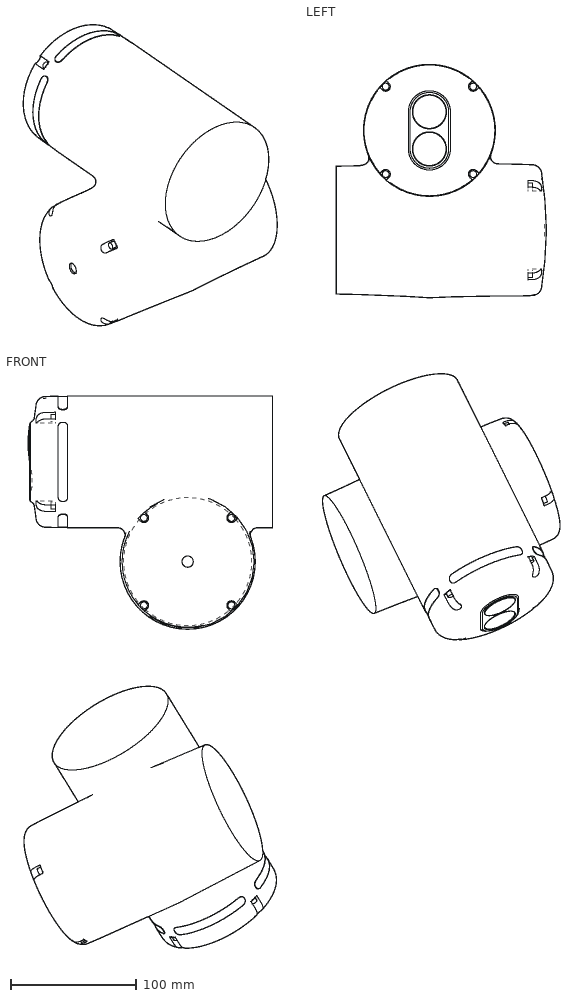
import cadquery as cq
import math


total_length = 195.5
main_radius = 52.8
main_right_end = 67.8
main_seam_x = -91.3
main_left_end = main_right_end - total_length

barrel_axis_drop = 79.8
barrel_mid_radius = 54.2
barrel_back_radius = 51.2
barrel_front_radius = 52.8
barrel_back_y = 74.5
crest_half_width = 0.5
barrel_seam_y = -72.1
junction_fillet = 5.7

cap_radius = 52.4
rim_round = 8.0
dome_edge_radius = cap_radius - rim_round
dome_height = 3.5
main_cap_length = 33.6
barrel_cap_length = 21.3
barrel_cap_top_y = barrel_seam_y - barrel_cap_length

screw_count = 4
screw_circle_radius = 49.5
screw_slot_radius = 3.7
screw_head_radius = 2.7
screw_head_height = 3.5
main_slot_depth = 19.2
barrel_slot_depth = 14.5

strip_count = 4
strip_width = 7.6
strip_chord = 63.3
strip_corner = 3.3
strip_recess = 0.1
strip_center_x = -99.7

pad_top_x = -126.3
pad_top_half_width = 15.5
pad_bevel_half_width = 16.8
pad_bevel_depth = 0.5
pad_wall_depth = 4.9
pad_wall_spread = 3.3
pad_root_fillet = 3.0
button_offset = 14.9
button_radius = 13.7
button_bevel = 0.4
dish_depth = 1.5

center_hole_radius = 4.5
center_hole_depth = 1.5


def lens(edge_radius, height, bevel=0.0):
    """Solid spherical segment rising along +Z, on a bevelled disc whose bottom is at Z = 0."""
    profile = cq.Workplane("XZ").lineTo(edge_radius + bevel, 0)
    if bevel > 0:
        profile = profile.lineTo(edge_radius, bevel)
    sphere_radius = (edge_radius**2 + height**2) / (2 * height)
    middle = edge_radius / 2
    middle_height = math.sqrt(sphere_radius**2 - middle**2) - sphere_radius + height
    profile = profile.threePointArc((middle, bevel + middle_height), (0, bevel + height))
    return profile.close().revolve(360, (0, 0, 0), (0, 1, 0))


def cap(seam_radius, length):
    """Rounded, domed cap whose seam is at Z = 0 and whose top is at Z = length."""
    dome_base = length - dome_height
    rim_start = dome_base - rim_round
    diagonal = rim_round * math.sqrt(0.5)
    rim_middle = (dome_edge_radius + diagonal, rim_start + diagonal)
    skirt = (
        cq.Workplane("XZ")
        .lineTo(seam_radius, 0)
        .lineTo(cap_radius, rim_start)
        .threePointArc(rim_middle, (dome_edge_radius, dome_base))
        .lineTo(0, dome_base)
        .close()
        .revolve(360, (0, 0, 0), (0, 1, 0))
    )
    return skirt.union(lens(dome_edge_radius, dome_height).translate((0, 0, dome_base)))


def screw_slots(cap_length, depth):
    """Slots open to the rim, each leaving a round screw head standing on its floor."""
    floor = cap_length - depth
    slots = cq.Workplane("XY")
    for index in range(screw_count):
        angle = (index + 0.5) * 360 / screw_count
        slot = (
            cq.Workplane("XY", origin=(screw_circle_radius, 0, floor))
            .circle(screw_slot_radius)
            .extrude(depth)
        )
        outlet = cq.Workplane("XY").box(
            2 * screw_slot_radius, 2 * screw_slot_radius, depth, centered=(False, True, False)
        )
        head = (
            cq.Workplane("XY", origin=(screw_circle_radius, 0, floor))
            .circle(screw_head_radius)
            .extrude(screw_head_height)
        )
        slot = slot.union(outlet.translate((screw_circle_radius, 0, floor))).cut(head)
        slots = slots.add(slot.rotate((0, 0, 0), (0, 0, 1), angle))
    return slots


def onto_main(shape):
    """Turn +Z to -X and move to the main seam."""
    return shape.rotate((0, 0, 0), (0, 1, 0), -90).translate((main_seam_x, 0, 0))


def onto_barrel(shape):
    """Turn +Z to -Y and move to the barrel seam."""
    turned = shape.rotate((0, 0, 0), (1, 0, 0), 90)
    return turned.translate((0, barrel_seam_y, -barrel_axis_drop))


def tube_and_barrel():
    """Main tube and double-cone barrel, blended where they meet."""
    tube = (
        cq.Workplane("YZ", origin=(main_seam_x, 0, 0))
        .circle(main_radius)
        .extrude(main_right_end - main_seam_x)
    )
    front_slope = (barrel_mid_radius - barrel_front_radius) / barrel_seam_y
    back_slope = (barrel_mid_radius - barrel_back_radius) / barrel_back_y
    crest_front = (barrel_mid_radius + front_slope * crest_half_width, -crest_half_width)
    crest_back = (barrel_mid_radius - back_slope * crest_half_width, crest_half_width)
    barrel = (
        cq.Workplane("XY")
        .moveTo(0, barrel_seam_y)
        .lineTo(barrel_front_radius, barrel_seam_y)
        .lineTo(*crest_front)
        .tangentArcPoint(crest_back, relative=False)
        .lineTo(barrel_back_radius, barrel_back_y)
        .lineTo(0, barrel_back_y)
        .close()
        .revolve(360, (0, 0, 0), (0, 1, 0))
        .translate((0, 0, -barrel_axis_drop))
    )
    return tube.union(barrel).edges("not(%CIRCLE or %LINE)").fillet(junction_fillet)


def strip_recesses():
    """Round-cornered strips, sunk slightly into the side of the main cap."""
    strips = cq.Workplane("XY")
    core = (
        cq.Workplane("YZ", origin=(strip_center_x - strip_width, 0, 0))
        .circle(cap_radius - strip_recess)
        .extrude(2 * strip_width)
    )
    for index in range(strip_count):
        strip = (
            cq.Workplane("XY", origin=(strip_center_x, 0, 0))
            .rect(strip_width, strip_chord)
            .extrude(main_radius)
            .edges("|Z")
            .fillet(strip_corner)
            .cut(core)
        )
        strips = strips.add(strip.rotate((0, 0, 0), (1, 0, 0), index * 360 / strip_count))
    return strips


def stadium(x, half_width):
    """Upright stadium outline on a plane facing +X."""
    plane = cq.Plane(origin=(x, 0, 0), xDir=(0, 0, 1), normal=(1, 0, 0))
    return cq.Workplane(plane).slot2D(2 * (button_offset + half_width), 2 * half_width)


def add_button_pad(main_cap):
    """Flared pad with a bevelled top, filleted onto the dome of the main cap."""
    bevel_spread = pad_bevel_half_width - pad_top_half_width
    bevel_angle = math.degrees(math.atan(bevel_spread / pad_bevel_depth))
    wall_angle = math.degrees(math.atan(pad_wall_spread / pad_wall_depth))
    bevel = stadium(pad_top_x, pad_top_half_width).extrude(pad_bevel_depth, taper=-bevel_angle)
    wall_x = pad_top_x + pad_bevel_depth
    wall = stadium(wall_x, pad_bevel_half_width).extrude(pad_wall_depth, taper=-wall_angle)
    joined = main_cap.union(wall)
    reach = pad_bevel_half_width + pad_wall_spread
    root = cq.selectors.BoxSelector(
        (wall_x + pad_bevel_depth, -reach, -reach - button_offset),
        (wall_x + pad_wall_depth, reach, reach + button_offset),
        boundingbox=True,
    )
    return joined.edges(root).fillet(pad_root_fillet).union(bevel)


def add_buttons(main_cap):
    """Domed button above the main axis and a dished one below it."""
    dome_height_on_pad = pad_top_x - main_left_end - button_bevel
    dome = lens(button_radius - button_bevel, dome_height_on_pad, button_bevel)
    dome = dome.rotate((0, 0, 0), (0, 1, 0), -90).translate((pad_top_x, 0, button_offset))
    dish = lens(button_radius - button_bevel, dish_depth, button_bevel)
    dish = dish.rotate((0, 0, 0), (0, 1, 0), 90).translate((pad_top_x, 0, -button_offset))
    return main_cap.union(dome).cut(dish)


def center_hole():
    """Small blind hole in the middle of the barrel cap."""
    return (
        cq.Workplane("XZ", origin=(0, barrel_cap_top_y + center_hole_depth, -barrel_axis_drop))
        .circle(center_hole_radius)
        .extrude(center_hole_depth)
    )


body = tube_and_barrel()

main_cap = onto_main(cap(main_radius, main_cap_length))
main_cap = add_buttons(add_button_pad(main_cap))
for slot in onto_main(screw_slots(main_cap_length, main_slot_depth)).vals():
    main_cap = main_cap.cut(cq.Workplane(slot))
for strip in strip_recesses().vals():
    main_cap = main_cap.cut(cq.Workplane(strip))

barrel_cap = onto_barrel(cap(barrel_front_radius, barrel_cap_length)).cut(center_hole())
for slot in onto_barrel(screw_slots(barrel_cap_length, barrel_slot_depth)).vals():
    barrel_cap = barrel_cap.cut(cq.Workplane(slot))

result = body.union(main_cap).union(barrel_cap)